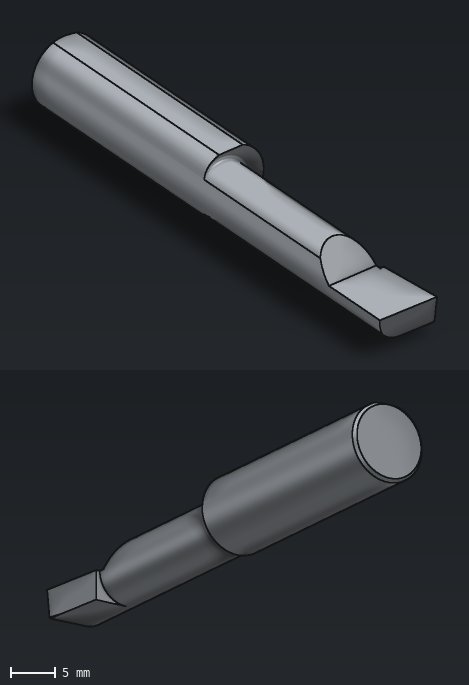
import cadquery as cq
import math

length = 63.5
shank_radius = 4.75
shank_length = 30.4
flat_height = 4.45
shank_chamfer = 0.4

neck_radius = 3.55
neck_offset = -1.45
root_fillet = 0.5

ramp_start = 50.55
ramp_end = ramp_start + neck_radius
nose_start = 54.8
nose_root_y = 2.6
nose_tip_y = 3.35
end_skew = 0.2
end_relief_angle = 7.0

clearance = 2 * shank_radius


def x_cylinder(radius, start, end, y=0):
    """Cylinder along X between two stations."""
    return cq.Workplane("YZ", origin=(start, y, 0)).circle(radius).extrude(end - start)


def make_shank():
    shank = x_cylinder(shank_radius, 0, shank_length)
    shank = shank.faces("<X").chamfer(shank_chamfer)
    above_flat = (
        cq.Workplane("XY", origin=(0, 0, flat_height))
        .rect(2 * length, 2 * clearance)
        .extrude(clearance)
    )
    return shank.cut(above_flat)


def make_neck():
    """Neck with a concave fillet where it leaves the shank."""
    arc_drop = root_fillet * (1 - math.sqrt(0.5))
    return (
        cq.Workplane("XY", origin=(0, neck_offset, 0))
        .moveTo(shank_length, 0)
        .lineTo(shank_length, neck_radius + root_fillet)
        .threePointArc(
            (shank_length + arc_drop, neck_radius + arc_drop),
            (shank_length + root_fillet, neck_radius),
        )
        .lineTo(length, neck_radius)
        .lineTo(length, 0)
        .close()
        .revolve(360, (0, 0, 0), (1, 0, 0))
    )


def make_nose():
    """Tapered side of the head, below the rake face at Z = 0."""
    return (
        cq.Workplane("XY")
        .moveTo(nose_start, neck_offset)
        .lineTo(nose_start, nose_root_y)
        .lineTo(length, nose_tip_y)
        .lineTo(length, neck_offset)
        .close()
        .extrude(-neck_radius)
    )


def make_ramp_cut():
    """Clears everything above the ramp and the rake face."""
    return (
        cq.Workplane("XZ")
        .moveTo(ramp_start, neck_radius)
        .lineTo(ramp_end, 0)
        .lineTo(length + clearance, 0)
        .lineTo(length + clearance, clearance)
        .lineTo(ramp_start, clearance)
        .close()
        .extrude(clearance, both=True)
    )


def make_end_cut():
    """End relief: the face leans back downwards and away from the nose tip."""
    skew_angle = math.degrees(math.atan(end_skew / (nose_tip_y + shank_radius)))
    return (
        cq.Workplane("XY")
        .box(clearance, 4 * clearance, 4 * clearance, centered=(False, True, True))
        .rotate((0, 0, 0), (0, 1, 0), end_relief_angle)
        .rotate((0, 0, 0), (0, 0, 1), -skew_angle)
        .translate((length, nose_tip_y, 0))
    )


bar_envelope = x_cylinder(shank_radius, shank_length, length)
working_end = make_neck().union(make_nose()).intersect(bar_envelope)
working_end = working_end.cut(make_ramp_cut()).cut(make_end_cut())

result = make_shank().union(working_end)